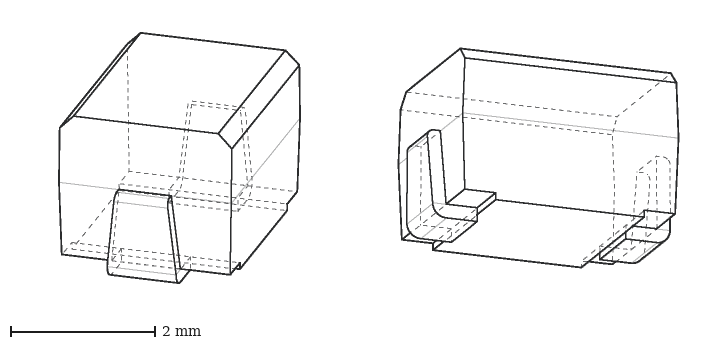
import cadquery as cq

width = 2.5
length = 3.2
height = 2.3
parting_z = 1.3
standoff = 0.1
edge_chamfer = 0.2
end_inset = 0.04
side_inset = 0.03

lead_thickness = 0.2
foot_width = 1.0
foot_inner_y = 1.1
riser_top_width = 0.76
top_bend_radius = 0.1
foot_bend_radius = 0.2

half_width = width / 2
half_length = length / 2
foot_top_z = lead_thickness
end_slope = end_inset / (parting_z - foot_top_z)
ledge_half_length = half_length - end_inset


def make_housing():
    """Moulded block: the overlap of its end outline and its side outline."""
    bottom_half_width = half_width - side_inset
    chamfer_half_width = half_width - edge_chamfer
    end_outline = (
        cq.Workplane("XZ")
        .polyline([
            (-bottom_half_width, standoff),
            (bottom_half_width, standoff),
            (half_width, parting_z),
            (half_width, height - edge_chamfer),
            (chamfer_half_width, height),
            (-chamfer_half_width, height),
            (-half_width, height - edge_chamfer),
            (-half_width, parting_z),
        ])
        .close()
        .extrude(half_length, both=True)
    )

    top_half_length = half_length - end_inset
    side_outline = (
        cq.Workplane("YZ")
        .polyline([
            (-foot_inner_y, standoff),
            (foot_inner_y, standoff),
            (foot_inner_y, foot_top_z),
            (ledge_half_length, foot_top_z),
            (half_length, parting_z),
            (top_half_length, height),
            (-top_half_length, height),
            (-half_length, parting_z),
            (-ledge_half_length, foot_top_z),
            (-foot_inner_y, foot_top_z),
        ])
        .close()
        .extrude(half_width, both=True)
    )
    return end_outline.intersect(side_outline).solids()


def make_lead(side):
    """Bent L-shaped lead at the +Y end (side = 1) or the -Y end (side = -1)."""
    outer_top_y = half_length + lead_thickness
    outer_bottom_y = outer_top_y - end_slope * parting_z
    bent_strip = (
        cq.Workplane("YZ")
        .polyline([
            (side * foot_inner_y, 0),
            (side * outer_bottom_y, 0),
            (side * outer_top_y, parting_z),
            (side * half_length, parting_z),
            (side * ledge_half_length, foot_top_z),
            (side * foot_inner_y, foot_top_z),
        ])
        .close()
        .extrude(foot_width / 2, both=True)
    )
    outer_side = ">Y" if side > 0 else "<Y"
    bent_strip = bent_strip.edges("|X").edges(">Z").edges(outer_side).fillet(top_bend_radius)
    bent_strip = bent_strip.edges("|X").edges("<Z").edges(outer_side).fillet(foot_bend_radius)

    front_outline = (
        cq.Workplane("XZ")
        .polyline([
            (-foot_width / 2, 0),
            (foot_width / 2, 0),
            (foot_width / 2, foot_top_z),
            (riser_top_width / 2, parting_z),
            (-riser_top_width / 2, parting_z),
            (-foot_width / 2, foot_top_z),
        ])
        .close()
        .extrude(length, both=True)
    )
    return bent_strip.intersect(front_outline).solids()


housing = make_housing()
leads = [make_lead(side) for side in (-1, 1)]

result = cq.Compound.makeCompound([housing.val(), *[lead.val() for lead in leads]])